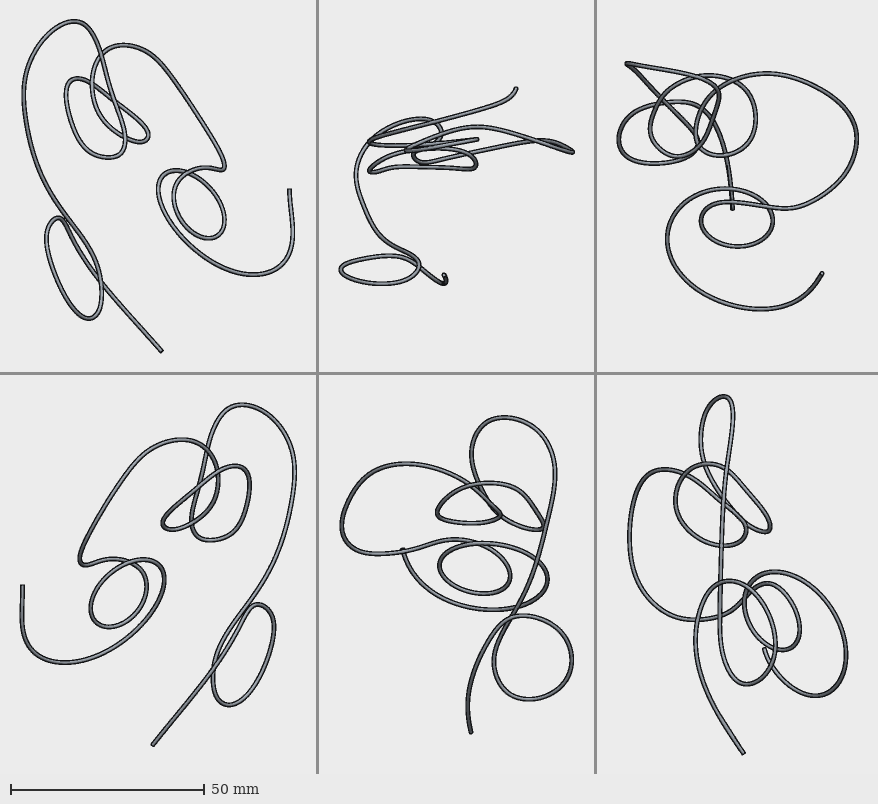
import cadquery as cq


WIRE_DIAMETER = 1.0

low_tail = [
    (-1.0, 2.2, -44.6),
    (-10.4, -3.5, -34.3),
    (-16.1, -9.4, -24.5),
    (-17.3, -15.2, -14.4),
]
low_loop = [
    (-14.8, -20.4, -8.2),
    (-9.2, -28.2, -9.4),
    (-3.2, -30.7, -16.5),
    (0.2, -25.8, -28.5),
    (-2.7, -18.6, -32.5),
    (-5.8, -14.05, -31.4),
    (-9.9, -11.5, -22.8),
    (-11.35, -14.2, -15.6),
    (-12.7, -20.5, -6.3),
]
upright_arch = [
    (-13.7, -25.9, 2.8),
    (-13.8, -31.7, 20.4),
    (-12.2, -32.1, 35.3),
    (-12.2, -26.65, 42.3),
    (-14.9, -13.0, 42.95),
    (-14.7, -7.8, 34.6),
    (-12.4, -7.2, 28.1),
    (-8.6, -7.2, 22.1),
]
front_coil = [
    (-1.4, -9.0, 14.0),
    (1.5, -13.2, 11.5),
    (0.0, -20.0, 12.7),
    (-6.2, -22.15, 19.0),
    (-12.25, -20.2, 25.7),
    (-17.4, -15.1, 27.5),
    (-20.35, -8.55, 25.7),
]
rear_coil = [
    (-19.2, -0.5, 19.2),
    (-8.6, 2.8, 13.0),
    (-2.7, -4.0, 12.6),
    (-3.1, -8.3, 14.6),
    (-6.5, -10.6, 17.0),
    (-10.5, -11.2, 19.8),
    (-16.7, -9.1, 25.75),
]
wide_arc = [
    (-25.3, 2.8, 31.5),
    (-27.2, 16.0, 27.2),
    (-26.5, 22.6, 19.7),
    (-22.1, 28.0, 9.2),
    (-12.9, 28.3, 2.1),
    (-6.3, 25.2, 0.8),
    (-0.45, 20.3, 1.6),
]
side_ring = [
    (3.15, 12.3, 4.4),
    (8.3, -0.45, 0.9),
    (11.4, -1.3, -3.5),
    (13.6, 1.1, -7.6),
    (12.0, 11.8, -11.7),
    (5.8, 16.2, -5.9),
    (1.5, 12.1, 1.6),
]
side_hook = [
    (4.6, -1.1, 4.5),
    (11.6, -7.1, 1.7),
    (22.15, -5.7, -8.2),
    (26.65, 4.6, -16.1),
    (26.3, 14.4, -19.2),
    (23.3, 23.2, -18.5),
    (18.3, 30.2, -13.3),
    (12.8, 32.9, -5.3),
    (12.0, 33.2, -2.6),
]

stations = (
    low_tail + low_loop + upright_arch + front_coil
    + rear_coil + wide_arc + side_ring + side_hook
)
centerline = cq.Edge.makeSpline([cq.Vector(*station) for station in stations])

end_plane = cq.Plane(origin=stations[0], normal=centerline.tangentAt(0).toTuple())
section = cq.Workplane(end_plane).circle(WIRE_DIAMETER / 2)
result = section.sweep(cq.Wire.assembleEdges([centerline]))